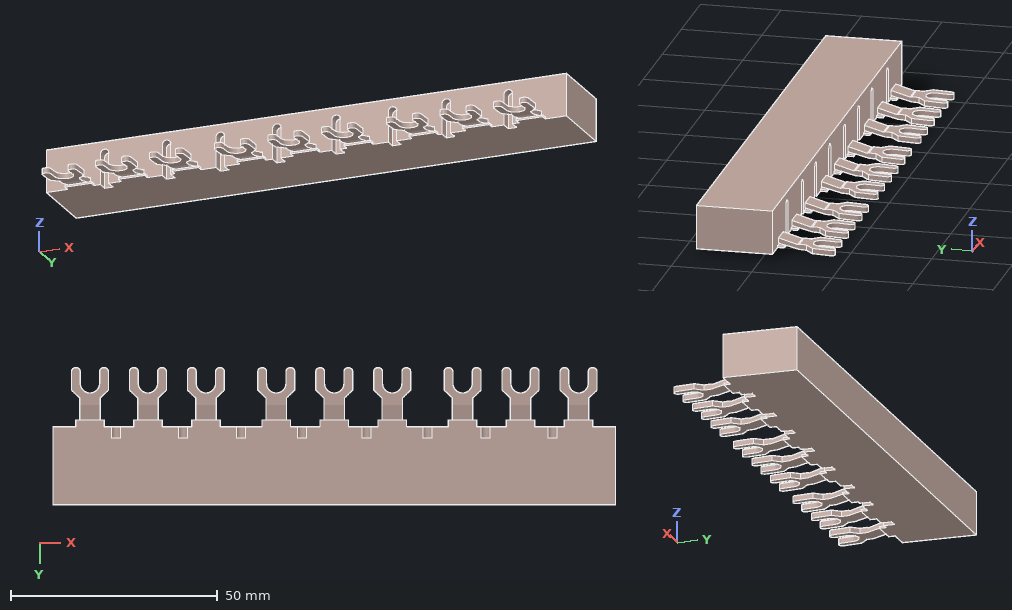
import cadquery as cq

bar_length = 136.0
bar_depth = 18.9
bar_height = 11.0

group_pitch = 45.0
terminal_pitch = 14.0
terminals_per_group = 3
groups = 3

slot_offsets = (7.8, group_pitch / 2, 36.6, 52.8)
slot_width = 2.2
slot_height = 9.0
slot_depth = 2.7

stem_width = 5.0
fork_width = 9.0
mouth_width = 4.6
shoulder_start = 7.0
shoulder_end = 8.8
mouth_top = 8.2
reach = 14.3
tip_fillet = 1.02

blade_thickness = 1.4
root_top = 2.2
crease_reach = 4.8
crease_top = 0.8
bend_reach = 5.2
bend_top = 1.0
tip_drop = 0.8
embed = 0.7

collar_width = 7.0
collar_reach = 1.6
collar_thickness = 0.48


def spread(count, pitch):
    """Positions of evenly pitched items, centred on zero."""
    return [(i - (count - 1) / 2) * pitch for i in range(count)]


def make_bar():
    bar = cq.Workplane("XY").box(bar_length, bar_depth, bar_height, centered=(True, False, False))
    for offset in slot_offsets:
        for x in (-offset, offset):
            bar = bar.cut(make_slot(x))
    return bar


def make_slot(x):
    spring_height = slot_height - slot_width / 2
    return (
        cq.Workplane("XZ")
        .moveTo(x - slot_width / 2, 0)
        .lineTo(x - slot_width / 2, spring_height)
        .threePointArc((x, slot_height), (x + slot_width / 2, spring_height))
        .lineTo(x + slot_width / 2, 0)
        .close()
        .extrude(-slot_depth)
    )


def make_terminal():
    """Bent blade ending in an open fork, with its collar, centred on x = 0."""
    stem = stem_width / 2
    outer = fork_width / 2
    mouth = mouth_width / 2
    mouth_centre = mouth_top + mouth
    plan = (
        cq.Workplane("XY")
        .workplane(offset=-bar_height)
        .moveTo(-stem, embed)
        .lineTo(-stem, -shoulder_start)
        .lineTo(-outer, -shoulder_end)
        .lineTo(-outer, -reach)
        .lineTo(-mouth, -reach)
        .lineTo(-mouth, -mouth_centre)
        .threePointArc((0, -mouth_top), (mouth, -mouth_centre))
        .lineTo(mouth, -reach)
        .lineTo(outer, -reach)
        .lineTo(outer, -shoulder_end)
        .lineTo(stem, -shoulder_start)
        .lineTo(stem, embed)
        .close()
        .extrude(2 * bar_height)
        .edges("|Z and <Y")
        .fillet(tip_fillet)
    )
    tip_top = blade_thickness - tip_drop
    embed_top = root_top + embed * (root_top - crease_top) / crease_reach
    top_line = [
        (embed, embed_top),
        (-crease_reach, crease_top),
        (-bend_reach, bend_top),
        (-reach, tip_top),
    ]
    bottom_line = [
        (-reach, -tip_drop),
        (-bend_reach, bend_top - blade_thickness),
        (embed, embed_top - blade_thickness),
    ]
    profile = (
        cq.Workplane("YZ")
        .polyline(top_line + bottom_line)
        .close()
        .extrude(fork_width / 2, both=True)
    )
    collar = (
        cq.Workplane("XY")
        .box(collar_width, collar_reach + embed, collar_thickness, centered=(True, False, False))
        .translate((0, -collar_reach, 0))
    )
    return plan.intersect(profile).union(collar)


result = make_bar()
terminal = make_terminal()
for group_x in spread(groups, group_pitch):
    for terminal_x in spread(terminals_per_group, terminal_pitch):
        result = result.union(terminal.translate((group_x + terminal_x, 0, 0)))